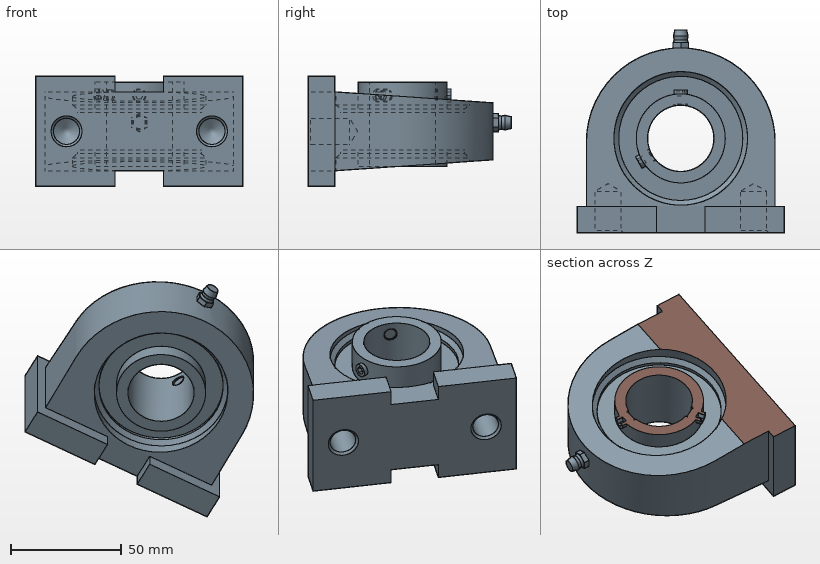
import cadquery as cq
import math


base_length = 94.0
base_height = 50.0
base_thickness = 12.0
base_y = -42.9
base_top_y = base_y + base_thickness
notch_width = 21.8

housing_radius = 42.9
housing_arc_y = -1.8
housing_crown_y = housing_arc_y + housing_radius
housing_foot_half_height = 18.0
housing_crown_half_height = 13.0

hole_offset = 33.0
hole_diameter = 11.8
hole_mouth_diameter = 14.0
hole_depth = 18.8
drill_point_angle = 118.0

seat_diameter = 60.6
seal_diameter = 56.3
seal_half_height = 8.6
seal_wall_height = 1.6
outer_ring_cone_height = 1.9
inner_ring_diameter = 40.4
inner_ring_top = 22.3
inner_ring_bottom = -16.0
bore_diameter = 30.0

screw_diameter = 6.0
screw_z = 16.3
screw_outer_reach = 22.0
screw_inner_reach = 15.3
screw_chamfer = 0.4
socket_diameter = 3.5
socket_depth = 2.8
screw_angles = (90, 210)

nipple_z = 3.95
nipple_tip_y = 49.3
nipple_bulge_y = 46.3
nipple_waist_y = 44.7
nipple_hex_top_y = 43.4
nipple_tip_radius = 2.7
nipple_bulge_radius = 3.4
nipple_waist_radius = 3.0
nipple_foot_radius = 3.4
nipple_hex_corners = 8.4
nipple_embed = 1.9


def make_base():
    plate = cq.Workplane("XY").box(base_length, base_thickness, base_height)
    plate = plate.translate((0, base_y + base_thickness / 2, 0))
    notch_depth = base_height / 2 - housing_foot_half_height
    for side in (1, -1):
        notch = cq.Workplane("XY").box(notch_width, base_thickness, notch_depth)
        notch_z = side * (base_height - notch_depth) / 2
        plate = plate.cut(notch.translate((0, base_y + base_thickness / 2, notch_z)))
    return plate


def make_housing():
    """Arched outline along Z, limited by a wedge that thins toward the crown."""
    arch = (
        cq.Workplane("XY")
        .moveTo(-housing_radius, base_top_y)
        .lineTo(housing_radius, base_top_y)
        .lineTo(housing_radius, housing_arc_y)
        .threePointArc((0, housing_crown_y), (-housing_radius, housing_arc_y))
        .close()
        .extrude(housing_foot_half_height, both=True)
    )
    wedge = (
        cq.Workplane("YZ")
        .polyline([
            (base_top_y, -housing_foot_half_height),
            (housing_crown_y, -housing_crown_half_height),
            (housing_crown_y, housing_crown_half_height),
            (base_top_y, housing_foot_half_height),
        ])
        .close()
        .extrude(housing_radius, both=True)
    )
    return arch.intersect(wedge)


def make_seat_recess(side):
    """Space above the seal: short wall, cone of the outer ring, then the seat bore."""
    cone_start = seal_half_height + seal_wall_height
    cone_end = cone_start + outer_ring_cone_height
    profile = [
        (0, side * seal_half_height),
        (seal_diameter / 2, side * seal_half_height),
        (seal_diameter / 2, side * cone_start),
        (seat_diameter / 2, side * cone_end),
        (seat_diameter / 2, side * base_height / 2),
        (0, side * base_height / 2),
    ]
    return cq.Workplane("XZ").polyline(profile).close().revolve(360, (0, 0), (0, 1))


def make_mounting_hole(x):
    """Blind hole with a drill point and a 45 degree chamfer at its mouth."""
    hole_radius = hole_diameter / 2
    mouth_radius = hole_mouth_diameter / 2
    point_length = hole_radius / math.tan(math.radians(drill_point_angle / 2))
    hole_end_y = base_y + hole_depth
    profile = [
        (0, base_y),
        (mouth_radius, base_y),
        (hole_radius, base_y + mouth_radius - hole_radius),
        (hole_radius, hole_end_y),
        (0, hole_end_y + point_length),
    ]
    hole = cq.Workplane("XY").polyline(profile).close().revolve(360, (0, 0), (0, 1))
    return hole.translate((x, 0, 0))


def make_inner_ring():
    ring_height = inner_ring_top - inner_ring_bottom
    ring = cq.Workplane("XY").workplane(offset=inner_ring_bottom)
    return ring.circle(inner_ring_diameter / 2).extrude(ring_height)


def make_bore():
    bore = cq.Workplane("XY").circle(bore_diameter / 2)
    return bore.extrude(base_height / 2, both=True)


def place_on_ring(shape, angle):
    """Move a shape lying along +X to the set screw height and turn it about Z."""
    return shape.translate((0, 0, screw_z)).rotate((0, 0, 0), (0, 0, 1), angle)


def make_screw_hole(angle):
    hole = cq.Workplane("YZ").circle(screw_diameter / 2).extrude(inner_ring_diameter / 2)
    return place_on_ring(hole, angle)


def make_set_screw(angle):
    """Hexagon socket set screw, chamfered at its inner end."""
    screw = (
        cq.Workplane("YZ")
        .workplane(offset=screw_inner_reach)
        .circle(screw_diameter / 2)
        .extrude(screw_outer_reach - screw_inner_reach)
        .faces("<X")
        .chamfer(screw_chamfer)
    )
    socket = (
        cq.Workplane("YZ")
        .workplane(offset=screw_outer_reach - socket_depth)
        .polygon(6, socket_diameter)
        .extrude(socket_depth)
    )
    return place_on_ring(screw.cut(socket), angle)


def make_grease_nipple():
    """Hexagon with two corners along Z, carrying a waisted round head."""
    foot_y = housing_crown_y - nipple_embed
    hexagon = (
        cq.Workplane("XZ")
        .polygon(6, nipple_hex_corners)
        .extrude(nipple_hex_top_y - foot_y)
        .rotate((0, 0, 0), (0, 1, 0), 90)
        .translate((0, nipple_hex_top_y, 0))
    )
    profile = [
        (0, foot_y),
        (nipple_foot_radius, foot_y),
        (nipple_foot_radius, nipple_hex_top_y),
        (nipple_waist_radius, nipple_waist_y),
        (nipple_bulge_radius, nipple_bulge_y),
        (nipple_tip_radius, nipple_tip_y),
        (0, nipple_tip_y),
    ]
    head = cq.Workplane("XY").polyline(profile).close().revolve(360, (0, 0), (0, 1))
    return hexagon.union(head).translate((0, 0, nipple_z))


result = make_base().union(make_housing())
for side in (1, -1):
    result = result.cut(make_seat_recess(side))
    result = result.cut(make_mounting_hole(side * hole_offset))
result = result.union(make_inner_ring()).cut(make_bore())
for angle in screw_angles:
    result = result.cut(make_screw_hole(angle)).union(make_set_screw(angle))
result = result.union(make_grease_nipple())